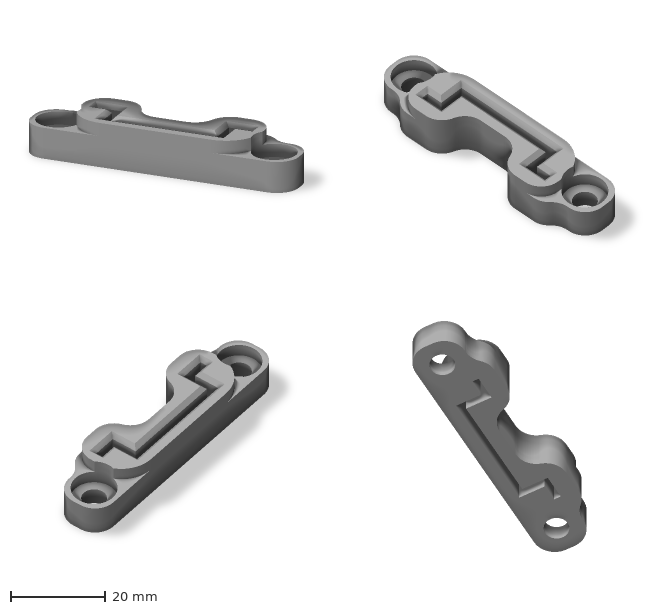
import cadquery as cq
import math

length = 62.0
width = 15.0
height = 10.0
cap_thickness = 3.0
base_height = height - cap_thickness
half_length = length / 2

corner_radius = 5.0
ear_width = 12.0
lobe_rise = width - ear_width
ear_step_x = 22.0
dip_floor_y = 8.0
dip_depth = width - dip_floor_y
dip_step_x = 8.27

cap_half_length = 21.0
cap_lower_radius = 8.0

hole_x = 25.0
hole_y = 6.0
hole_diameter = 5.5
counterbore_diameter = 10.0
counterbore_depth = 3.0

slot_width = 1.7
slot_half_length = 18.0
slot_leg_x = 14.0
slot_bottom_y = 3.0
slot_top_y = 10.9
slot_chamfer = 1.0


def step_angle(drop):
    """Sweep of each of the two equal tangent arcs that together make a step of height drop."""
    return math.acos(1 - drop / (2 * corner_radius))


def step_half_run(drop):
    """Distance along X from the middle of a step to either of its ends."""
    return corner_radius * math.sin(step_angle(drop))


def add_step(path, start, end):
    """Join two levels with two tangent arcs of the corner radius that curve opposite ways."""
    half_angle = step_angle(abs(end[1] - start[1])) / 2
    middle = ((start[0] + end[0]) / 2, (start[1] + end[1]) / 2)
    arc_x = math.copysign(corner_radius * math.sin(half_angle), end[0] - start[0])
    arc_y = math.copysign(corner_radius * (1 - math.cos(half_angle)), end[1] - start[1])
    path = path.threePointArc((start[0] + arc_x, start[1] + arc_y), middle)
    return path.threePointArc((end[0] - arc_x, end[1] - arc_y), end)


def add_corner(path, center, radius, start_angle):
    """Add a quarter-circle that turns clockwise from start_angle (degrees)."""
    points = []
    for angle in (start_angle - 45, start_angle - 90):
        turn = math.radians(angle)
        points.append((center[0] + radius * math.cos(turn), center[1] + radius * math.sin(turn)))
    return path.threePointArc(*points)


def add_dip(path):
    """Continue along the upper edge from the left lobe, through the dip, to the right lobe."""
    dip_top_x = dip_step_x + step_half_run(dip_depth)
    dip_floor_x = dip_step_x - step_half_run(dip_depth)
    path = path.lineTo(-dip_top_x, width)
    path = add_step(path, (-dip_top_x, width), (-dip_floor_x, dip_floor_y))
    path = path.lineTo(dip_floor_x, dip_floor_y)
    return add_step(path, (dip_floor_x, dip_floor_y), (dip_top_x, width))


def make_base():
    """Lower plate with both screw ears."""
    end_x = half_length - corner_radius
    ear_center_y = ear_width - corner_radius
    ear_curve_x = ear_step_x + step_half_run(lobe_rise)
    lobe_x = ear_step_x - step_half_run(lobe_rise)
    path = cq.Workplane("XY").moveTo(-end_x, 0)
    path = add_corner(path, (-end_x, corner_radius), corner_radius, 270)
    path = path.lineTo(-half_length, ear_center_y)
    path = add_corner(path, (-end_x, ear_center_y), corner_radius, 180)
    path = path.lineTo(-ear_curve_x, ear_width)
    path = add_step(path, (-ear_curve_x, ear_width), (-lobe_x, width))
    path = add_dip(path)
    path = path.lineTo(lobe_x, width)
    path = add_step(path, (lobe_x, width), (ear_curve_x, ear_width))
    path = path.lineTo(end_x, ear_width)
    path = add_corner(path, (end_x, ear_center_y), corner_radius, 90)
    path = path.lineTo(half_length, corner_radius)
    path = add_corner(path, (end_x, corner_radius), corner_radius, 0)
    return path.close().extrude(base_height)


def make_cap():
    """Raised cap that follows the lobes and the dip."""
    lower_x = cap_half_length - cap_lower_radius
    upper_x = cap_half_length - corner_radius
    upper_y = width - corner_radius
    path = cq.Workplane("XY").workplane(offset=base_height).moveTo(-lower_x, 0)
    path = add_corner(path, (-lower_x, cap_lower_radius), cap_lower_radius, 270)
    path = path.lineTo(-cap_half_length, upper_y)
    path = add_corner(path, (-upper_x, upper_y), corner_radius, 180)
    path = add_dip(path)
    path = path.lineTo(upper_x, width)
    path = add_corner(path, (upper_x, upper_y), corner_radius, 90)
    path = path.lineTo(cap_half_length, cap_lower_radius)
    path = add_corner(path, (lower_x, cap_lower_radius), cap_lower_radius, 0)
    return path.close().extrude(cap_thickness)


def slot_outline(z, offset):
    """Closed slot outline at height z, with every wall moved outward by offset."""
    outer_x = slot_half_length + offset
    leg_outer_x = slot_leg_x + offset
    leg_inner_x = slot_leg_x - slot_width - offset
    foot_y = slot_top_y - slot_width - offset
    top_y = slot_top_y + offset
    bottom_y = slot_bottom_y - offset
    web_y = slot_bottom_y + slot_width + offset
    left_half = [
        (-leg_outer_x, bottom_y),
        (-leg_outer_x, foot_y),
        (-outer_x, foot_y),
        (-outer_x, top_y),
        (-leg_inner_x, top_y),
        (-leg_inner_x, web_y),
    ]
    right_half = [(-x, y) for x, y in reversed(left_half)]
    return cq.Workplane("XY").workplane(offset=z).polyline(left_half + right_half).close()


def make_slot():
    """Through slot with a 45-degree chamfer around its top rim."""
    through = slot_outline(0, 0).extrude(height)
    wide_wire = slot_outline(height, slot_chamfer).val()
    narrow_wire = slot_outline(height - slot_chamfer, 0).val()
    flare = cq.Solid.makeLoft([narrow_wire, wide_wire], True)
    return through.union(cq.Workplane(flare))


def make_screw_hole(x):
    """Through hole with a counterbore that also bites into the cap."""
    shank = cq.Workplane("XY").center(x, hole_y).circle(hole_diameter / 2).extrude(height)
    floor = cq.Workplane("XY").workplane(offset=base_height - counterbore_depth)
    head = floor.center(x, hole_y).circle(counterbore_diameter / 2).extrude(height)
    return shank.union(head)


body = make_base().union(make_cap()).cut(make_slot())
for x in (-hole_x, hole_x):
    body = body.cut(make_screw_hole(x))

result = body.translate((0, -width / 2, 0))